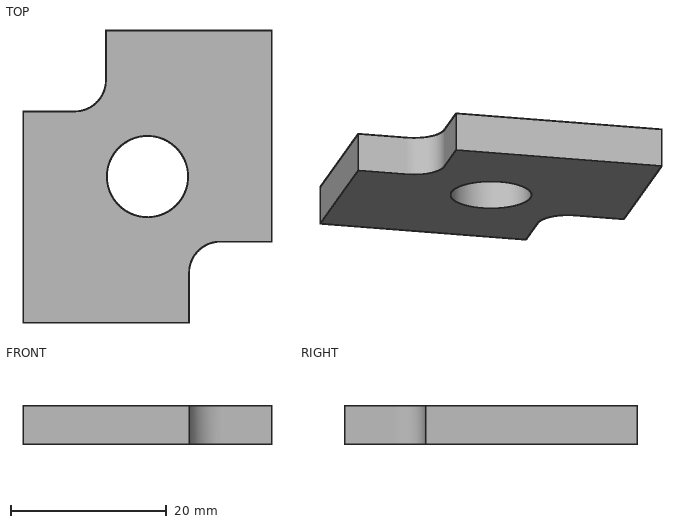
import cadquery as cq

width = 32.0
length = 37.6
thickness = 5.0

hole_diameter = 10.4

notch_width = 10.65
notch_length = 10.4
notch_radius = 4.0


def corner_notch():
    """Cutter for the (-X, +Y) corner of the plate."""
    return (
        cq.Workplane("XY")
        .rect(2 * notch_width, 2 * notch_length)
        .extrude(thickness)
        .edges("|Z and >X and <Y")
        .fillet(notch_radius)
        .translate((-width / 2, length / 2, 0))
    )


plate = cq.Workplane("XY").rect(width, length).extrude(thickness)
plate = plate.faces(">Z").workplane().hole(hole_diameter)

for angle in (0, 180):
    plate = plate.cut(corner_notch().rotate((0, 0, 0), (0, 0, 1), angle))

result = plate